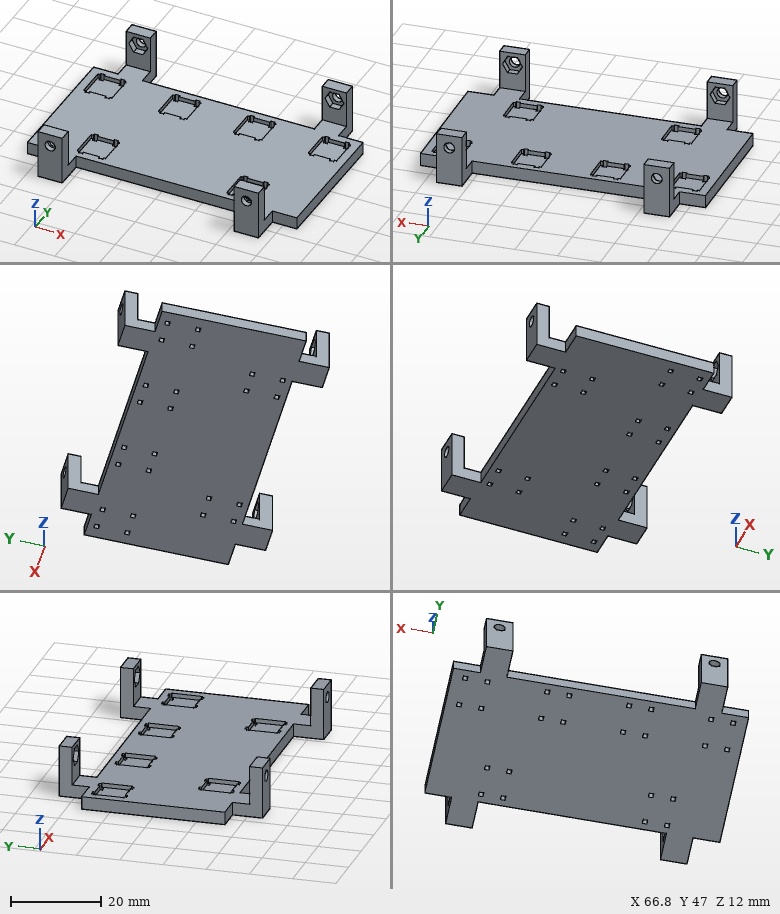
import cadquery as cq
import math

plate_length = 66.8
plate_width = 33.1
plate_thickness = 3.0

overall_width = 47.0
overall_height = 12.0
lug_width = 6.0
lug_thickness = 3.0
lug_end_inset = 6.1
lug_center_x = plate_length / 2 - lug_end_inset - lug_width / 2

screw_hole_diameter = 2.5
screw_hole_z = overall_height - lug_width / 2
nut_across_flats = 4.0
nut_across_corners = nut_across_flats / math.cos(math.pi / 6)
nut_recess_depth = 1.6

pocket_size = 7.0
pocket_depth = 1.0
pocket_edge_margin = 2.1
pocket_pitch = (plate_length - 2 * pocket_edge_margin - pocket_size) / 3
pocket_row_y = plate_width / 2 - pocket_edge_margin - pocket_size / 2
wire_hole_size = 1.0
wire_hole_spacing = 5.0

pocket_centers = [(step * pocket_pitch, pocket_row_y) for step in (-1.5, -0.5, 0.5, 1.5)]
pocket_centers += [(step * pocket_pitch, -pocket_row_y) for step in (-1, 1)]


def make_frame():
    """Plate with two U-shaped straps across it whose ends stand up as lugs."""
    frame = cq.Workplane("XY").box(
        plate_length, plate_width, plate_thickness, centered=(True, True, False)
    )
    strap = cq.Workplane("XY").box(
        lug_width, overall_width, overall_height, centered=(True, True, False)
    )
    gap_between_lugs = (
        cq.Workplane("XY")
        .workplane(offset=plate_thickness)
        .box(lug_width, overall_width - 2 * lug_thickness, overall_height, centered=(True, True, False))
    )
    strap = strap.cut(gap_between_lugs)
    for side in (-1, 1):
        frame = frame.union(strap.translate((side * lug_center_x, 0, 0)))
    return frame


def make_lug_fastener_cutter():
    """Screw bore through both lugs of a strap, with a nut recess on each inner face."""
    bore = (
        cq.Workplane("XZ")
        .center(0, screw_hole_z)
        .circle(screw_hole_diameter / 2)
        .extrude(overall_width / 2, both=True)
    )
    nut_bar_half_length = overall_width / 2 - lug_thickness + nut_recess_depth
    nut_bar = (
        cq.Workplane("XZ")
        .center(0, screw_hole_z)
        .polygon(6, nut_across_corners)
        .extrude(nut_bar_half_length, both=True)
    )
    return bore.union(nut_bar)


def cut_pockets(body):
    """Shallow square pockets, each with four square wire holes through the plate."""
    pockets = (
        cq.Workplane("XY")
        .workplane(offset=plate_thickness - pocket_depth)
        .pushPoints(pocket_centers)
        .rect(pocket_size, pocket_size)
        .extrude(pocket_depth)
    )
    wire_hole_centers = [
        (x + x_side * wire_hole_spacing / 2, y + y_side * pocket_size / 2)
        for x, y in pocket_centers
        for x_side in (-1, 1)
        for y_side in (-1, 1)
    ]
    wire_holes = (
        cq.Workplane("XY")
        .pushPoints(wire_hole_centers)
        .rect(wire_hole_size, wire_hole_size)
        .extrude(plate_thickness)
    )
    return body.cut(pockets).cut(wire_holes)


result = make_frame()
for side in (-1, 1):
    result = result.cut(make_lug_fastener_cutter().translate((side * lug_center_x, 0, 0)))
result = cut_pockets(result)